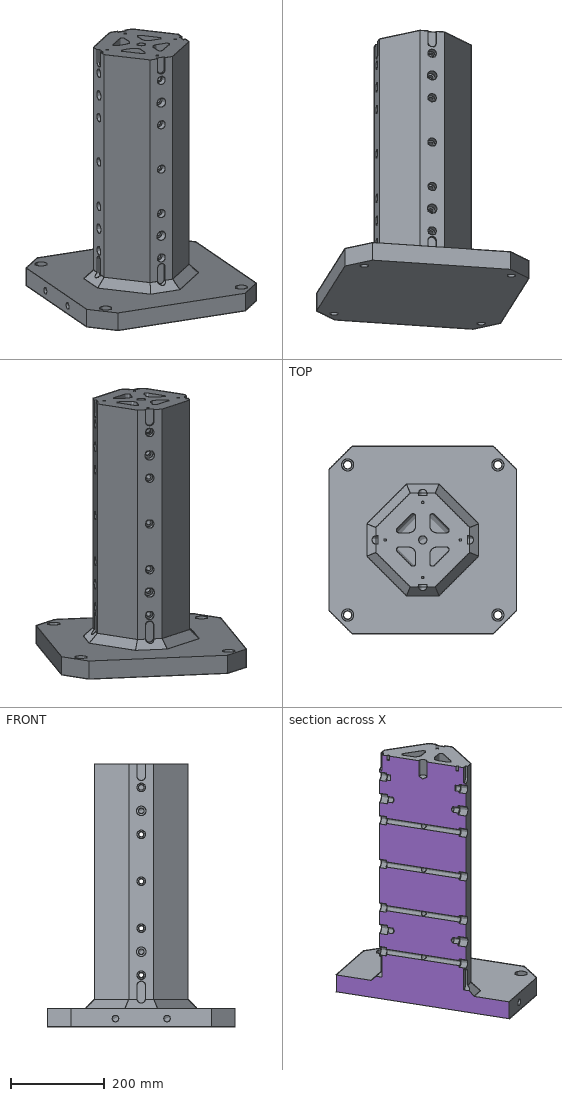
import cadquery as cq
import math

height = 560.0
base_side = 400.0
base_thickness = 40.0
base_corner_cut = 50.0
column_width = base_side / 2
column_flat = 53.0
flare_size = 19.0
flare_slope = 45.0

mount_spacing = 320.0
mount_diameter = 17.5
mount_bore_diameter = 26.0
mount_bore_depth = 17.0
side_hole_spacing = 110.0
side_hole_diameter = 14.0
side_hole_depth = 25.0
side_hole_height = 18.0

hole_pitch = column_width / 4
through_steps = (3, 5, 7, 9)
blind_steps = (2, 8)
pin_step = 1
face_bore_diameter = 18.0
face_bore_depth = 15.0
through_diameter = 10.5
pin_diameter = 12.0
pin_depth = 25.0
blind_bore_diameter = 20.0
blind_bore_depth = 18.0
blind_diameter = 12.0
blind_depth = 30.0

slot_width = 18.0
slot_depth = 5.0
top_slot_length = 35.0
bottom_slot_start = 51.0
bottom_slot_end = 97.5

center_hole_diameter = 17.5
center_hole_depth = 35.0
small_hole_diameter = 5.0
small_hole_depth = 10.0
small_hole_radius = 80.0
pocket_inset = 15.0
pocket_leg = 49.0
pocket_apex_radius = 15.0
pocket_tip_radius = 5.5
pocket_floor_radius = 15.0
pocket_floor = base_thickness

drill_point_angle = 118.0
octagon_turn = 45.0
quarter_turns = (0, 90, 180, 270)


def octagon(z, half_width, half_flat):
    """Closed octagon outline at height z, with flats facing X and Y."""
    corners = [
        (half_flat, half_width),
        (half_width, half_flat),
        (half_width, -half_flat),
        (half_flat, -half_width),
        (-half_flat, -half_width),
        (-half_width, -half_flat),
        (-half_width, half_flat),
        (-half_flat, half_width),
    ]
    return cq.Workplane("XY", origin=(0, 0, z)).polyline(corners).close()


def drill(entry, direction, diameter, depth, pointed=False):
    """Cylinder running from the entry point, with an optional conical end."""
    entry = cq.Vector(*entry)
    direction = cq.Vector(*direction)
    tool = cq.Solid.makeCylinder(diameter / 2, depth, entry, direction)
    if pointed:
        cone_height = diameter / 2 / math.tan(math.radians(drill_point_angle / 2))
        cone_start = entry + direction * depth
        tool = tool.fuse(cq.Solid.makeCone(diameter / 2, 0, cone_height, cone_start, direction))
    return tool


def make_body():
    """Base plate and octagonal column, joined by a sloping flare."""
    base = (
        cq.Workplane("XY")
        .rect(base_side, base_side)
        .extrude(base_thickness)
        .edges("|Z")
        .chamfer(base_corner_cut)
    )
    half_width = column_width / 2
    half_flat = column_flat / 2
    column = octagon(base_thickness, half_width, half_flat).extrude(height - base_thickness)
    flat_growth = flare_size * math.tan(math.radians(octagon_turn / 2))
    flare_outline = octagon(base_thickness, half_width + flare_size, half_flat + flat_growth)
    flare = flare_outline.extrude(flare_size, taper=flare_slope)
    return base.union(flare).union(column)


def face_features():
    """Cutting tools for the column face on the -Y side."""
    face_y = -column_width / 2

    def face_hole(step, diameter, depth, pointed=False):
        entry = (0, face_y, height - step * hole_pitch)
        return drill(entry, (0, 1, 0), diameter, depth, pointed)

    tools = [
        face_hole(pin_step, face_bore_diameter, face_bore_depth),
        face_hole(pin_step, pin_diameter, pin_depth),
    ]
    for step in through_steps:
        tools.append(face_hole(step, face_bore_diameter, face_bore_depth))
        tools.append(face_hole(step, through_diameter, column_width / 2))
    for step in blind_steps:
        tools.append(face_hole(step, blind_bore_diameter, blind_bore_depth))
        tools.append(face_hole(step, blind_diameter, blind_depth, pointed=True))

    slot_ends = (
        (height - top_slot_length, height + slot_width),
        (bottom_slot_start, bottom_slot_end),
    )
    for low, high in slot_ends:
        slot = (
            cq.Workplane("XZ", origin=(0, face_y + slot_depth, (low + high) / 2))
            .slot2D(high - low, slot_width, 90)
            .extrude(slot_depth + flare_size)
        )
        tools.append(slot.val())

    small_entry = (0, -small_hole_radius, height)
    tools.append(drill(small_entry, (0, 0, -1), small_hole_diameter, small_hole_depth))
    return tools


def make_pocket():
    """Triangular pocket in the +X +Y quarter, its floor curving up to the long wall."""
    far = pocket_inset + pocket_leg
    prism = (
        cq.Workplane("XY", origin=(0, 0, pocket_floor))
        .polyline([(pocket_inset, pocket_inset), (far, pocket_inset), (pocket_inset, far)])
        .close()
        .extrude(height - pocket_floor)
    )
    tips = prism.edges("|Z").edges(">X or >Y")
    prism = tips.fillet(pocket_tip_radius)
    apex = cq.selectors.NearestToPointSelector((pocket_inset, pocket_inset, height / 2))
    prism = prism.edges("|Z").edges(apex).fillet(pocket_apex_radius)
    wall = (pocket_inset + far) / math.sqrt(2)
    diagonal = cq.Plane(origin=(0, 0, 0), xDir=(1, 1, 0), normal=(1, -1, 0))
    profile = (
        cq.Workplane(diagonal)
        .moveTo(0, pocket_floor)
        .lineTo(wall - pocket_floor_radius, pocket_floor)
        .tangentArcPoint((pocket_floor_radius, pocket_floor_radius))
        .lineTo(wall, height)
        .lineTo(0, height)
        .close()
        .extrude(pocket_leg, both=True)
    )
    return prism.intersect(profile).val()


def base_holes():
    """Cutting tools for the four mounting holes and the two holes in the -Y side."""
    half_spacing = mount_spacing / 2
    half_side = base_side / 2
    tools = []
    for x in (-half_spacing, half_spacing):
        for y in (-half_spacing, half_spacing):
            entry = (x, y, base_thickness)
            tools.append(drill(entry, (0, 0, -1), mount_diameter, base_thickness))
            tools.append(drill(entry, (0, 0, -1), mount_bore_diameter, mount_bore_depth))
    for x in (-side_hole_spacing / 2, side_hole_spacing / 2):
        entry = (x, -half_side, side_hole_height)
        tools.append(drill(entry, (0, 1, 0), side_hole_diameter, side_hole_depth, pointed=True))
    return tools


center_hole = drill((0, 0, height), (0, 0, -1), center_hole_diameter, center_hole_depth, pointed=True)
quarter_tools = [*face_features(), make_pocket()]
cutters = [center_hole, *base_holes()]
for angle in quarter_turns:
    for tool in quarter_tools:
        cutters.append(tool.rotate((0, 0, 0), (0, 0, 1), angle))

result = cq.Workplane(make_body().val().cut(*cutters).Solids()[0])